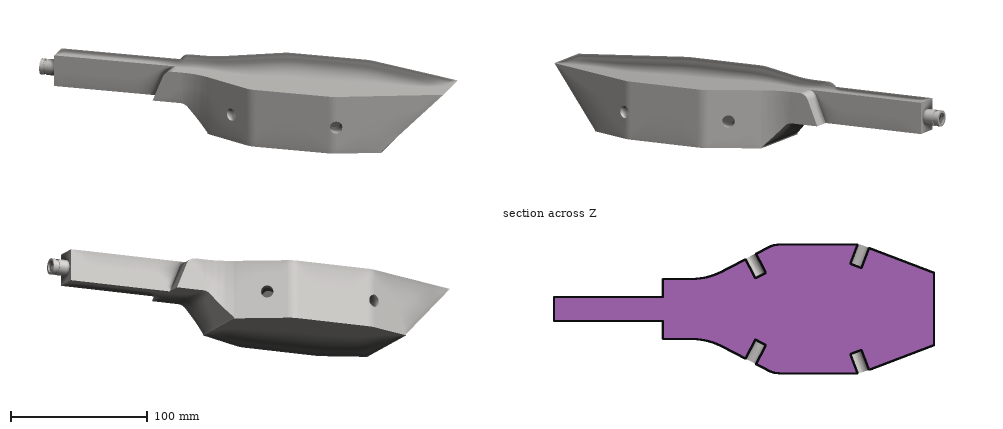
import cadquery as cq
import math

total_length = 314.3
total_width = 95.0
total_height = 43.7
plate_thickness = 1.0
housing_height = total_height - plate_thickness

stub_length = 12.5
stub_diameter = 12.0
groove_diameter = 10.7
groove_start = 2.8
groove_width = 2.0
socket_diameter = 8.5
socket_depth = 2.0
bore_diameter = 6.0
bore_depth = 3.0

handle_width = 18.2
handle_height = 23.5
stub_axis_z = -12.3

neck_width = 44.5
neck_start = 92.0
neck_slope = 22.5
neck_round = 7.5

shoulder_start = 126.0
shoulder_end = 174.5
taper_start = 238.0
tip_width = 36.8
shoulder_inner_radius = 45.5
corner_radius = 15.7

underside_slope = 45.0
underside_round = 8.0
slope_run = (housing_height - handle_height) / math.tan(math.radians(underside_slope))
tip_run = housing_height / math.tan(math.radians(underside_slope))
underside_start = 135.8
underside_end = total_length - tip_run

side_hole_diameter = 9.0
side_hole_depth = 15.7
side_hole_z = -23.5
shoulder_hole_x = 157.5
taper_hole_x = 240.5


def make_profile():
    """Side profile of the housing's neck and paddle, across the full width."""
    slope_offset = handle_height * math.tan(math.radians(neck_slope))
    neck_top = (neck_start + slope_offset, 0)
    bend = (underside_start - slope_run, -handle_height)
    profile = (
        cq.Workplane("XZ")
        .polyline([
            neck_top,
            (neck_start, -handle_height),
            bend,
            (underside_start, -housing_height),
            (underside_end, -housing_height),
            (total_length, 0),
        ])
        .close()
        .extrude(total_width / 2, both=True)
    )
    profile = edge_at(profile, neck_top).fillet(neck_round)
    return edge_at(profile, bend).fillet(underside_round)


def edge_at(solid, point):
    """Select the edge along Y that passes through an (x, z) point."""
    return solid.edges(cq.selectors.NearestToPointSelector((point[0], 0, point[1])))


def make_outline():
    """Plan outline of neck and paddle, over the full height."""
    half = [
        (neck_start, neck_width / 2),
        (shoulder_start, neck_width / 2),
        (shoulder_end, total_width / 2),
        (taper_start, total_width / 2),
        (total_length, tip_width / 2),
    ]
    mirrored = [(x, -y) for x, y in reversed(half)]
    outline = cq.Workplane("XY").polyline(half + mirrored).close().extrude(-total_height)
    radii = [shoulder_inner_radius, corner_radius, corner_radius]
    for (x, y), radius in zip(half[1:4], radii):
        for side in (1, -1):
            corner = cq.selectors.NearestToPointSelector((x, side * y, -total_height / 2))
            outline = outline.edges(corner).fillet(radius)
    return outline


def make_side_hole(x, start, end, side):
    """Drill for a blind hole square to the side face running from start to end."""
    run = end[0] - start[0]
    rise = end[1] - start[1]
    y = start[1] + (x - start[0]) * rise / run
    length = math.hypot(run, rise)
    inward = cq.Vector(rise / length, -side * run / length, 0)
    mouth = cq.Vector(x, side * y, side_hole_z) - inward * side_hole_diameter
    depth = side_hole_depth + side_hole_diameter
    return cq.Workplane(cq.Solid.makeCylinder(side_hole_diameter / 2, depth, mouth, inward))


def make_housing():
    """Paddle, neck, handle and connector stub in one piece, with the side holes."""
    handle = cq.Workplane("XY").box(
        shoulder_start - stub_length, handle_width, handle_height, centered=(False, True, False)
    ).translate((stub_length, 0, -handle_height))
    housing = make_outline().intersect(make_profile()).union(handle).union(make_stub())
    shoulder = ((shoulder_start, neck_width / 2), (shoulder_end, total_width / 2))
    taper = ((taper_start, total_width / 2), (total_length, tip_width / 2))
    for side in (1, -1):
        housing = housing.cut(make_side_hole(shoulder_hole_x, *shoulder, side))
        housing = housing.cut(make_side_hole(taper_hole_x, *taper, side))
    return housing


def stub_cylinder(diameter, start, length):
    """Cylinder on the stub axis, from X = start."""
    return (
        cq.Workplane("YZ", origin=(start, 0, stub_axis_z))
        .circle(diameter / 2)
        .extrude(length)
    )


def make_stub():
    """Grooved connector stub with a stepped bore in its free end."""
    groove = stub_cylinder(stub_diameter, groove_start, groove_width).cut(
        stub_cylinder(groove_diameter, groove_start, groove_width)
    )
    return (
        stub_cylinder(stub_diameter, 0, stub_length)
        .cut(groove)
        .cut(stub_cylinder(socket_diameter, 0, socket_depth))
        .cut(stub_cylinder(bore_diameter, 0, bore_depth))
    )


def make_plate():
    """Cover plate on the flat underside, flush with the paddle's sides."""
    blank = cq.Workplane("XY").box(
        underside_end - underside_start, total_width, plate_thickness, centered=(False, True, False)
    ).translate((underside_start, 0, -total_height))
    return make_outline().intersect(blank)


housing = make_housing()
cover_plate = make_plate()
result = cq.Compound.makeCompound([housing.solids().val(), cover_plate.solids().val()])